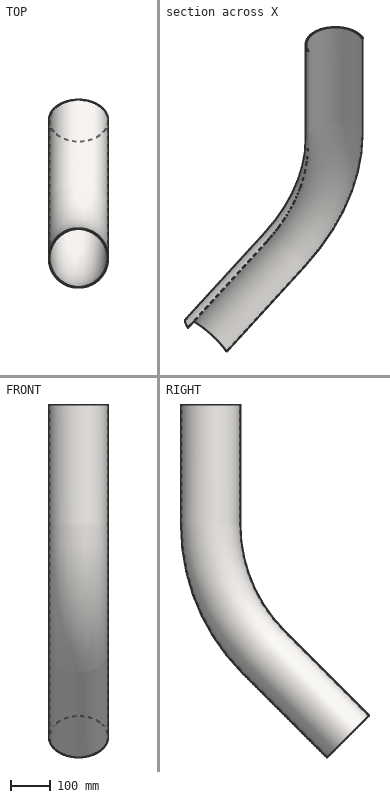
import cadquery as cq
import math

outer_diameter = 152.4
inner_diameter = 146.3
leg_length = 2 * outer_diameter
bend_radius = 3 * outer_diameter
bend_angle = math.radians(45)


def point_on_bend(angle):
    """Centreline point (Y, Z) after turning through the given angle."""
    return (
        bend_radius * (1 - math.cos(angle)),
        -bend_radius * math.sin(angle),
    )


def make_centreline():
    """Upper leg, bend and lower leg, running from the top end downward."""
    bend_end_y, bend_end_z = point_on_bend(bend_angle)
    lower_end = (
        bend_end_y + leg_length * math.sin(bend_angle),
        bend_end_z - leg_length * math.cos(bend_angle),
    )
    return (
        cq.Workplane("YZ")
        .moveTo(0, leg_length)
        .lineTo(0, 0)
        .threePointArc(point_on_bend(bend_angle / 2), (bend_end_y, bend_end_z))
        .lineTo(*lower_end)
    )


def make_tube():
    """Sweep the ring-shaped cross-section along the centreline."""
    return (
        cq.Workplane("XY")
        .workplane(offset=leg_length)
        .circle(outer_diameter / 2)
        .circle(inner_diameter / 2)
        .sweep(make_centreline())
    )


result = make_tube()